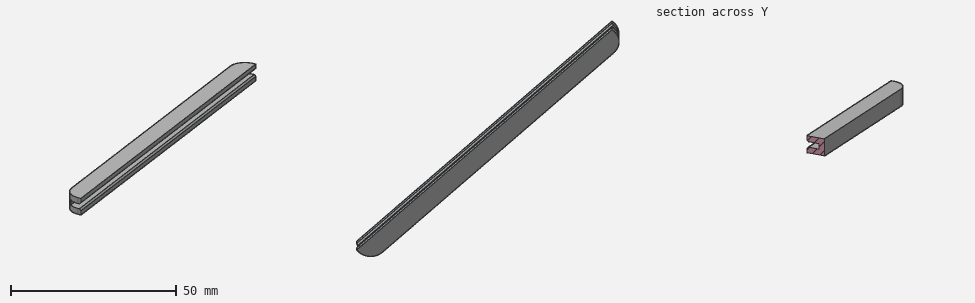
import cadquery as cq

width = 6.0
length = 108.0
height = 5.6

corner_radius = 5.1

slot_floor_x = 1.9
slot_height = 1.6
mouth_chamfer = 0.5


def make_strip():
    """Bar with its two -X vertical corners rounded."""
    bar = cq.Workplane("XY").box(width, length, height, centered=(False, True, True))
    return bar.edges("|Z and <X").fillet(corner_radius)


def make_slot():
    """Slot cutter whose mouth flares out at the open +X side."""
    half_slot = slot_height / 2
    half_mouth = half_slot + mouth_chamfer
    chamfer_start_x = width - mouth_chamfer
    profile = [
        (slot_floor_x, -half_slot),
        (chamfer_start_x, -half_slot),
        (width, -half_mouth),
        (width, half_mouth),
        (chamfer_start_x, half_slot),
        (slot_floor_x, half_slot),
    ]
    return cq.Workplane("XZ").polyline(profile).close().extrude(length / 2, both=True)


result = make_strip().cut(make_slot())